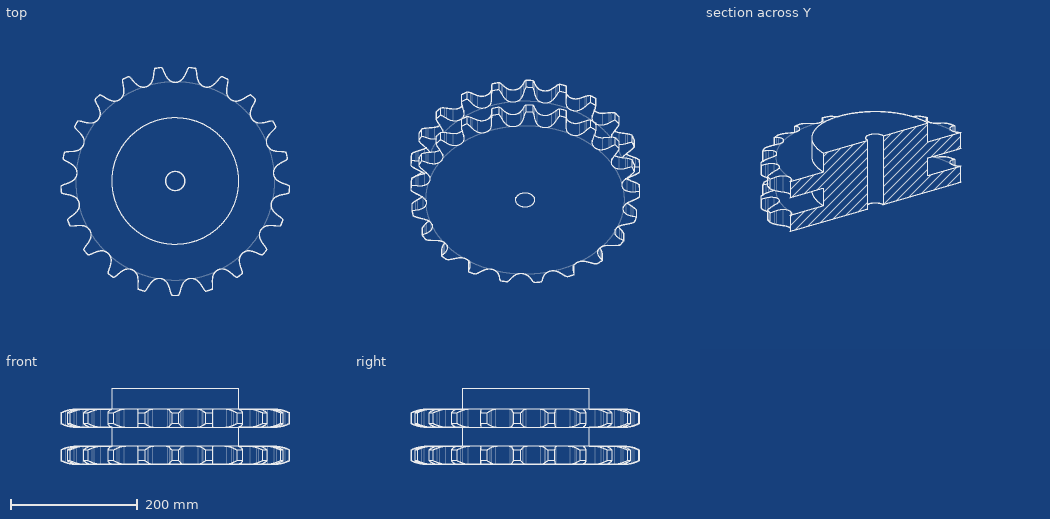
import cadquery as cq
import math


TOOTH_COUNT = 21
CHAIN_PITCH = 50.8
ROLLER_DIAMETER = 29.21
STRAND_SPACING = 58.5
STRAND_COUNT = 2
TIP_DIAMETER = 361.3

RING_WIDTH = 28.8
FLAT_FACE_DIAMETER = 313.4
SIDE_RADIUS = CHAIN_PITCH
HUB_DIAMETER = 200.0
HUB_HEIGHT = 120.0
BORE_DIAMETER = 30.0

SEAT_CLEARANCE = 0.076
SEAT_DIAMETER = 1.005 * ROLLER_DIAMETER + SEAT_CLEARANCE
WORKING_CENTRE_OFFSET = 0.8 * ROLLER_DIAMETER
TOPPING_CENTRE_OFFSET = 1.4 * ROLLER_DIAMETER
SEAT_END_ANGLE = math.radians(35 + 60 / TOOTH_COUNT)
WORKING_ARC_ANGLE = math.radians(18 - 56 / TOOTH_COUNT)

HALF_TOOTH_ANGLE = math.pi / TOOTH_COUNT
PITCH_RADIUS = CHAIN_PITCH / (2 * math.sin(HALF_TOOTH_ANGLE))
TIP_RADIUS = TIP_DIAMETER / 2
SEAT_RADIUS = SEAT_DIAMETER / 2
WORKING_RADIUS = SEAT_RADIUS + WORKING_CENTRE_OFFSET


def polar(centre, radius, angle):
    """Point at a distance and direction from a centre."""
    return (
        centre[0] + radius * math.cos(angle),
        centre[1] + radius * math.sin(angle),
    )


def mirrored(point):
    """Mirror a point across the centre line of the gap."""
    return (-point[0], point[1])


def topping_end_direction(centre, radius):
    """Direction from the topping centre to where its arc crosses the tip circle."""
    centre_distance = math.hypot(*centre)
    centre_direction = math.atan2(centre[1], centre[0])
    cosine = (TIP_RADIUS**2 - centre_distance**2 - radius**2) / (2 * centre_distance * radius)
    return centre_direction + math.acos(cosine)


def gap_outline():
    """Closed outline of one tooth gap, symmetric about +Y, running past the tooth tips."""
    roller = (0, PITCH_RADIUS)
    seat_bottom = (0, PITCH_RADIUS - SEAT_RADIUS)
    seat_end = polar(roller, SEAT_RADIUS, -SEAT_END_ANGLE)

    working_centre = polar(roller, WORKING_CENTRE_OFFSET, math.pi - SEAT_END_ANGLE)
    flank_normal = WORKING_ARC_ANGLE - SEAT_END_ANGLE
    working_middle = polar(working_centre, WORKING_RADIUS, flank_normal - WORKING_ARC_ANGLE / 2)
    working_end = polar(working_centre, WORKING_RADIUS, flank_normal)

    topping_centre = polar(roller, TOPPING_CENTRE_OFFSET, -HALF_TOOTH_ANGLE)
    across = (math.cos(flank_normal), math.sin(flank_normal))
    topping_radius = (
        (topping_centre[0] - working_end[0]) * across[0]
        + (topping_centre[1] - working_end[1]) * across[1]
    )
    topping_start_angle = flank_normal + math.pi
    topping_start = polar(topping_centre, topping_radius, topping_start_angle)

    topping_end_angle = topping_end_direction(topping_centre, topping_radius)
    topping_middle = polar(topping_centre, topping_radius, (topping_start_angle + topping_end_angle) / 2)
    topping_end = polar(topping_centre, topping_radius, topping_end_angle)
    beyond_tips = (0, TIP_RADIUS + SEAT_RADIUS)

    return (
        cq.Workplane("XY")
        .moveTo(*topping_end)
        .threePointArc(topping_middle, topping_start)
        .lineTo(*working_end)
        .threePointArc(working_middle, seat_end)
        .threePointArc(seat_bottom, mirrored(seat_end))
        .threePointArc(mirrored(working_middle), mirrored(working_end))
        .lineTo(*mirrored(topping_start))
        .threePointArc(mirrored(topping_middle), mirrored(topping_end))
        .lineTo(*beyond_tips)
        .close()
    )


def ring_blank():
    """Disc from Z = 0 to the ring width, with its sides rounded towards the rim."""
    flat_radius = FLAT_FACE_DIAMETER / 2

    def side_drop(radius):
        return SIDE_RADIUS - math.sqrt(SIDE_RADIUS**2 - (radius - flat_radius) ** 2)

    middle_radius = (flat_radius + TIP_RADIUS) / 2
    middle_drop = side_drop(middle_radius)
    tip_drop = side_drop(TIP_RADIUS)
    return (
        cq.Workplane("XZ")
        .moveTo(0, 0)
        .lineTo(flat_radius, 0)
        .threePointArc((middle_radius, middle_drop), (TIP_RADIUS, tip_drop))
        .lineTo(TIP_RADIUS, RING_WIDTH - tip_drop)
        .threePointArc((middle_radius, RING_WIDTH - middle_drop), (flat_radius, RING_WIDTH))
        .lineTo(0, RING_WIDTH)
        .close()
        .revolve(360, (0, 0, 0), (0, 1, 0))
    )


def tooth_ring():
    """One toothed ring standing on Z = 0."""
    gap = gap_outline().extrude(RING_WIDTH)
    ring = ring_blank()
    for index in range(TOOTH_COUNT):
        ring = ring.cut(gap.rotate((0, 0, 0), (0, 0, 1), index * 360 / TOOTH_COUNT))
    return ring


def sprocket():
    """Hub with the tooth rings joined to it and the bore cut through."""
    body = cq.Workplane("XY").circle(HUB_DIAMETER / 2).extrude(HUB_HEIGHT)
    ring = tooth_ring()
    for strand in range(STRAND_COUNT):
        body = body.union(ring.translate((0, 0, strand * STRAND_SPACING)))
    bore = cq.Workplane("XY").circle(BORE_DIAMETER / 2).extrude(HUB_HEIGHT)
    return body.cut(bore)


result = sprocket()